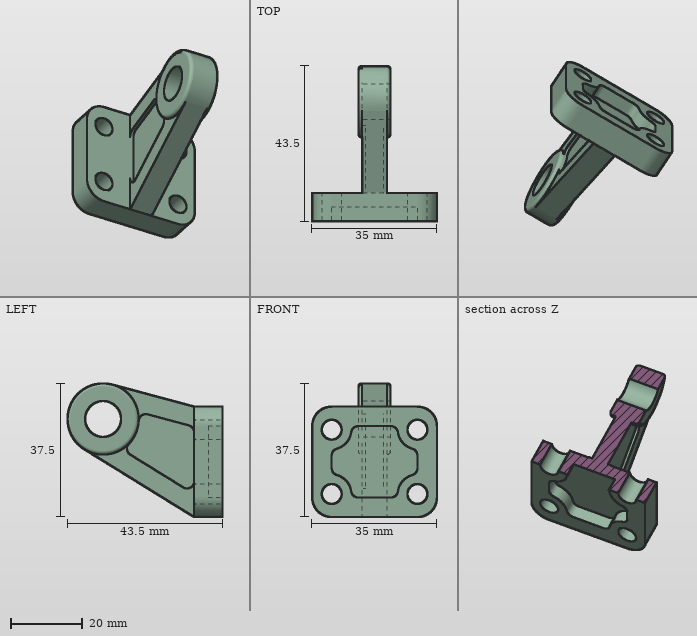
import cadquery as cq
import math

PLATE_WIDTH = 35.0
PLATE_HEIGHT = 31.0
PLATE_THICKNESS = 8.0
PLATE_CORNER_RADIUS = 5.5
BOLT_SPACING_X = 24.0
BOLT_SPACING_Z = 18.0
BOLT_HOLE_DIAMETER = 5.5

RIM_WIDTH = 5.5
POCKET_CORNER_RADIUS = 2.0
PLATE_POCKET_DEPTH = 4.0

EYE_Y = 33.5
EYE_Z = 12.0
EYE_RADIUS = 10.0
EYE_WIDTH = 9.0
EYE_BORE_DIAMETER = 10.0
EYE_EDGE_RADIUS = 1.0

ARM_WIDTH = 7.0
ARM_POCKET_DEPTH = 1.0


def eye_cylinder(radius, width):
    """Round bar on the eye axis, centred on X = 0."""
    plane = cq.Workplane("YZ").workplane(offset=-width / 2)
    return plane.center(EYE_Y, EYE_Z).circle(radius).extrude(width)


def tangent_normal(side):
    """Angle of the outward normal of the arm edge running from a plate edge tangent to the eye.

    side is +1 for the upper edge and -1 for the lower edge.
    """
    reach = EYE_Y - PLATE_THICKNESS
    rise = EYE_Z - side * PLATE_HEIGHT / 2
    slant = math.atan2(rise, reach)
    half_spread = math.asin(EYE_RADIUS / math.hypot(reach, rise))
    return slant + side * half_spread + side * math.pi / 2


def arm_edge(side, inset):
    """Ends of an arm edge moved inward by inset: on the plate back, then beside the eye."""
    normal = tangent_normal(side)
    distance = EYE_RADIUS - inset
    eye_end = (EYE_Y + distance * math.cos(normal), EYE_Z + distance * math.sin(normal))
    run = eye_end[0] - PLATE_THICKNESS
    plate_end = (PLATE_THICKNESS, eye_end[1] + run / math.tan(normal))
    return plate_end, eye_end


def arm_outline(inset):
    """Four-sided outline of the arm, with its two long edges moved inward by inset."""
    upper_plate, upper_eye = arm_edge(1, inset)
    lower_plate, lower_eye = arm_edge(-1, inset)
    return cq.Workplane("YZ").polyline([upper_plate, upper_eye, lower_eye, lower_plate]).close()


def make_plate():
    plate = (
        cq.Workplane("XY")
        .box(PLATE_WIDTH, PLATE_THICKNESS, PLATE_HEIGHT, centered=(True, False, True))
        .edges("|Y")
        .fillet(PLATE_CORNER_RADIUS)
    )
    return plate.cut(bolt_cylinders(BOLT_HOLE_DIAMETER / 2, PLATE_THICKNESS))


def bolt_cylinders(radius, length):
    """Cylinders on the four bolt axes, running from the plate front into the plate."""
    return (
        cq.Workplane("XZ")
        .rarray(BOLT_SPACING_X, BOLT_SPACING_Z, 2, 2)
        .circle(radius)
        .extrude(-length)
    )


def make_plate_pocket():
    """Rectangular pocket whose corners curve around the bolt holes."""
    pocket = cq.Workplane("XY").box(
        PLATE_WIDTH - 2 * RIM_WIDTH,
        PLATE_POCKET_DEPTH,
        PLATE_HEIGHT - 2 * RIM_WIDTH,
        centered=(True, False, True),
    )
    pocket = pocket.cut(bolt_cylinders(RIM_WIDTH, PLATE_POCKET_DEPTH))
    return pocket.edges("|Y").fillet(POCKET_CORNER_RADIUS)


def make_eye():
    return eye_cylinder(EYE_RADIUS, EYE_WIDTH).edges().fillet(EYE_EDGE_RADIUS)


def make_arm():
    """Tapered arm with a shallow pocket on each side."""
    arm = arm_outline(0).extrude(ARM_WIDTH / 2, both=True)
    pocket = arm_outline(RIM_WIDTH).extrude(ARM_POCKET_DEPTH / 2, both=True)
    pocket = pocket.cut(eye_cylinder(EYE_RADIUS, ARM_POCKET_DEPTH))
    pocket = pocket.edges("|X").fillet(POCKET_CORNER_RADIUS)
    pocket_mid_x = (ARM_WIDTH - ARM_POCKET_DEPTH) / 2
    for side in (-1, 1):
        arm = arm.cut(pocket.translate((side * pocket_mid_x, 0, 0)))
    return arm


bracket = make_plate().union(make_arm()).union(make_eye())
bracket = bracket.cut(eye_cylinder(EYE_BORE_DIAMETER / 2, EYE_WIDTH))
result = bracket.cut(make_plate_pocket())